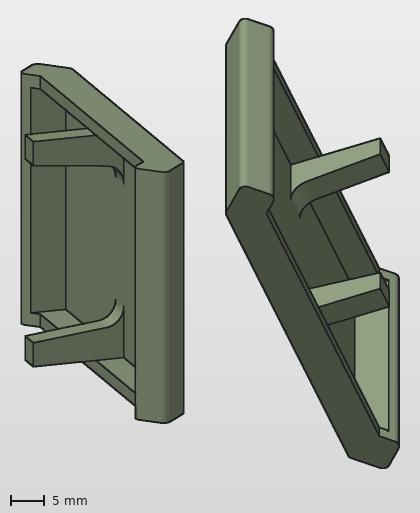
import cadquery as cq
import math

width = 57.9
height = 38.7
total_depth = 15.44

plate_thickness = 5.65
lip_depth = 7.7
side_depth = 4.25
side_radius = 1.0
lip_radius = 1.15
back_radius = 1.0

pocket_width = 48.0
rim_height = 2.0
floor_thickness = 1.3

pin_width = 3.7
pin_tip_height = 3.7
pin_taper = 6.0
pin_root_radius = 3.0

corner_overhang = math.sqrt(2) - 1

side_x = width / 2 + side_radius * corner_overhang
back_x = side_x - side_depth
lip_y = lip_depth + lip_radius * corner_overhang
lip_x = side_x - (lip_y - side_depth)
lip_inner_x = lip_x - (lip_y - plate_thickness)

pocket_height = height - 2 * rim_height


def make_body():
    """Plate with bevelled back and hooked lips, extruded along Z."""
    right_half = [
        (back_x, 0),
        (side_x, -side_depth),
        (lip_x, -lip_y),
        (lip_inner_x, -plate_thickness),
    ]
    left_half = [(-x, y) for x, y in reversed(right_half)]
    body = (
        cq.Workplane("XY")
        .polyline(right_half + left_half)
        .close()
        .extrude(height / 2, both=True)
    )
    for corner_x, corner_y, radius in (
        (back_x, 0, back_radius),
        (side_x, -side_depth, side_radius),
        (lip_x, -lip_y, lip_radius),
    ):
        for side in (-1, 1):
            edge = cq.selectors.NearestToPointSelector((side * corner_x, corner_y, 0))
            body = body.edges("|Z").edges(edge).fillet(radius)
    return body


def make_pocket():
    """Rectangular cutter, open toward the front."""
    cutter = cq.Workplane("XY").box(pocket_width, total_depth, pocket_height)
    return cutter.translate((0, -floor_thickness - total_depth / 2, 0))


def make_upper_pin():
    """Pin flush with the upper pocket wall, with a rounded inner root."""
    pin_length = total_depth - floor_thickness
    top_z = pocket_height / 2
    tip_z = top_z - pin_tip_height
    slope = math.radians(pin_taper)
    root_z = tip_z - pin_length * math.tan(slope)

    half_sweep = (math.pi / 2 - slope) / 2

    tangent_length = pin_root_radius * math.tan(half_sweep)
    floor_tangent = (-floor_thickness, root_z - tangent_length)
    face_tangent = (
        -floor_thickness - tangent_length * math.cos(slope),
        root_z + tangent_length * math.sin(slope),
    )
    arc_center = (floor_tangent[0] - pin_root_radius, floor_tangent[1])
    arc_middle = (
        arc_center[0] + pin_root_radius * math.cos(half_sweep),
        arc_center[1] + pin_root_radius * math.sin(half_sweep),
    )
    return (
        cq.Workplane("YZ")
        .moveTo(0, top_z)
        .lineTo(-total_depth, top_z)
        .lineTo(-total_depth, tip_z)
        .lineTo(*face_tangent)
        .threePointArc(arc_middle, floor_tangent)
        .lineTo(0, floor_tangent[1])
        .close()
        .extrude(pin_width / 2, both=True)
    )


upper_pin = make_upper_pin()
lower_pin = upper_pin.mirror("XY")
result = make_body().cut(make_pocket()).union(upper_pin).union(lower_pin)